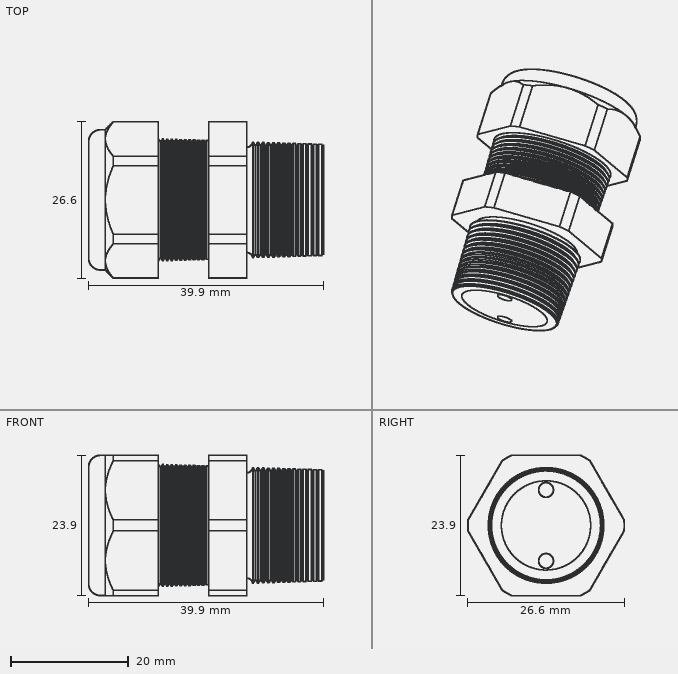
import cadquery as cq
import math


TOTAL_LENGTH = 39.88
ACROSS_FLATS = 23.9
CORNER_RADIUS = 13.28

DOME_RADIUS = 11.92
DOME_FILLET = 2.05
DOME_LENGTH = 2.85
NUT_END = 11.85

COLLAR_START = 20.38
COLLAR_END = 26.88

FLANK_HALF_ANGLE = math.radians(30)
TAPER = 1 / 32

NUT_THREAD_PITCH = 0.75
NUT_THREAD_ROOT = 9.9
NUT_THREAD_SHARP = 10.4
NUT_THREAD_CREST = 10.35
NUT_THREAD_FIRST = NUT_END
NUT_THREAD_COUNT = 12

ENTRY_PITCH = 0.88
ENTRY_ROOT = 9.25
ENTRY_SHARP = 9.9
ENTRY_CREST = 9.8
ENTRY_FIRST = 27.88
ENTRY_COUNT = 14
NECK_RADIUS = 8.97

BORE_RADIUS = 7.58
RECESS_RADIUS = 7.35
RECESS_DEPTH = 0.48
CABLE_HOLE_DIAMETER = 2.47
CABLE_HOLE_OFFSET = 6.02


def cylinder(radius, start, end):
    """Solid cylinder on the X axis."""
    return cq.Workplane("YZ", origin=(start, 0, 0)).circle(radius).extrude(end - start)


def revolve_about_x(outline):
    """Turn a closed XY outline around the X axis."""
    return outline.close().revolve(360, (0, 0, 0), (1, 0, 0))


def hexagon(start, end):
    """Hexagonal prism with flats at top and bottom and rounded-off corners."""
    corner_diameter = ACROSS_FLATS / math.cos(math.radians(30))
    prism = cq.Workplane("YZ", origin=(start, 0, 0)).polygon(6, corner_diameter).extrude(end - start)
    return prism.intersect(cylinder(CORNER_RADIUS, start, end))


def ridge_points(first, pitch, count, root, sharp, crest):
    """Outline points of the ridges: foot, two crest corners and foot of each."""
    foot_half = (sharp - root) * math.tan(FLANK_HALF_ANGLE)
    points = []
    for i in range(count):
        center = first + i * pitch
        crest_radius = crest - i * pitch * TAPER
        crest_half = (sharp - crest_radius) * math.tan(FLANK_HALF_ANGLE)
        points += [
            (center - foot_half, root),
            (center - crest_half, crest_radius),
            (center + crest_half, crest_radius),
            (center + foot_half, root),
        ]
    return points


def make_dome_nut():
    """Hexagon nut with a 45 degree cone leading to a round-edged dome."""
    cone_length = CORNER_RADIUS - DOME_RADIUS
    envelope = revolve_about_x(
        cq.Workplane("XY")
        .lineTo(0, DOME_RADIUS)
        .lineTo(DOME_LENGTH, DOME_RADIUS)
        .lineTo(DOME_LENGTH + cone_length, CORNER_RADIUS)
        .lineTo(NUT_END, CORNER_RADIUS)
        .lineTo(NUT_END, 0)
    )
    envelope = envelope.faces("<X").edges().fillet(DOME_FILLET)
    return hexagon(0, NUT_END).intersect(envelope)


def make_nut_thread():
    """Tapered thread whose end ridges run into the nut and the collar."""
    ridges = ridge_points(
        NUT_THREAD_FIRST, NUT_THREAD_PITCH, NUT_THREAD_COUNT,
        NUT_THREAD_ROOT, NUT_THREAD_SHARP, NUT_THREAD_CREST,
    )
    outline = cq.Workplane("XY").moveTo(ridges[0][0], 0)
    for point in ridges:
        outline = outline.lineTo(*point)
    return revolve_about_x(outline.lineTo(ridges[-1][0], 0))


def make_entry_thread():
    """Tapered thread that starts from a neck curving up to the first crest."""
    ridges = ridge_points(
        ENTRY_FIRST, ENTRY_PITCH, ENTRY_COUNT, ENTRY_ROOT, ENTRY_SHARP, ENTRY_CREST,
    )
    neck_foot = (COLLAR_END, NECK_RADIUS)
    along_axis = cq.Vector(1, 0, 0)
    neck_curve = cq.Edge.makeTangentArc(cq.Vector(*neck_foot), along_axis, cq.Vector(*ridges[1]))
    rim = [*ridges[1:], (TOTAL_LENGTH, ENTRY_ROOT), (TOTAL_LENGTH, 0), (COLLAR_END, 0), neck_foot]
    rim_wire = cq.Wire.makePolygon([cq.Vector(*point) for point in rim])
    outline = cq.Wire.assembleEdges([neck_curve, *rim_wire.Edges()])
    thread = cq.Solid.revolve(outline, [], 360, cq.Vector(0, 0, 0), along_axis)
    return cq.Workplane(thread)


def make_housing():
    """Nut, threads and collar as one piece with a straight bore."""
    body = make_dome_nut()
    body = body.union(make_nut_thread())
    body = body.union(hexagon(COLLAR_START, COLLAR_END))
    body = body.union(make_entry_thread())
    return body.cut(cylinder(BORE_RADIUS, 0, TOTAL_LENGTH))


def make_sealing_insert():
    """Plug filling the bore, dished at the front, with two cable holes."""
    plug = cylinder(BORE_RADIUS, 0, TOTAL_LENGTH)
    plug = plug.cut(cylinder(RECESS_RADIUS, 0, RECESS_DEPTH))
    cable_holes = (
        cq.Workplane("YZ")
        .pushPoints([(0, CABLE_HOLE_OFFSET), (0, -CABLE_HOLE_OFFSET)])
        .circle(CABLE_HOLE_DIAMETER / 2)
        .extrude(TOTAL_LENGTH)
    )
    return plug.cut(cable_holes)


housing = make_housing()
sealing_insert = make_sealing_insert()

result = cq.Compound.makeCompound([housing.val(), sealing_insert.val()])